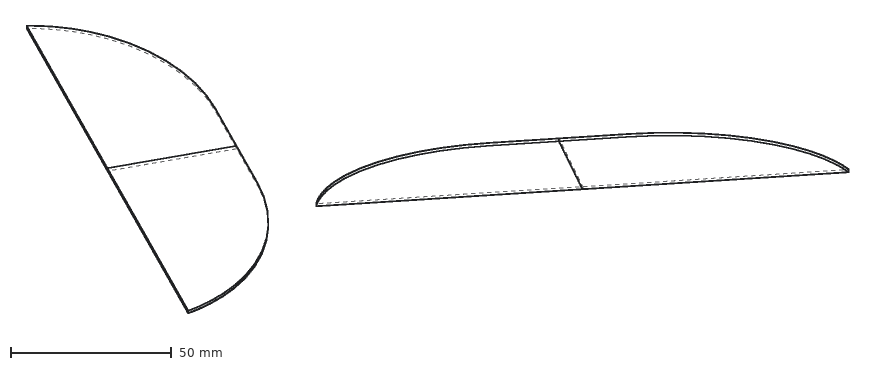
import cadquery as cq
import math

length = 168.2
depth = 42.0
thickness = 1.0
end_radius_x = 64.0
end_radius_y = 55.2

half_length = length / 2
ellipse_center_y = depth - end_radius_y
tip_angle = math.asin(-ellipse_center_y / end_radius_y)
ellipse_center_x = half_length - end_radius_x * math.cos(tip_angle)


def right_half_plate():
    """Flat half plate from the X = 0 joint to the pointed tip on the +X side."""
    return (
        cq.Workplane("XY")
        .lineTo(0, depth)
        .lineTo(ellipse_center_x, depth)
        .ellipseArc(
            end_radius_x,
            end_radius_y,
            angle1=math.degrees(tip_angle),
            angle2=90,
            sense=-1,
        )
        .close()
        .extrude(thickness)
    )


right_plate = right_half_plate()
left_plate = right_plate.mirror("YZ")

result = cq.Compound.makeCompound([left_plate.val(), right_plate.val()])